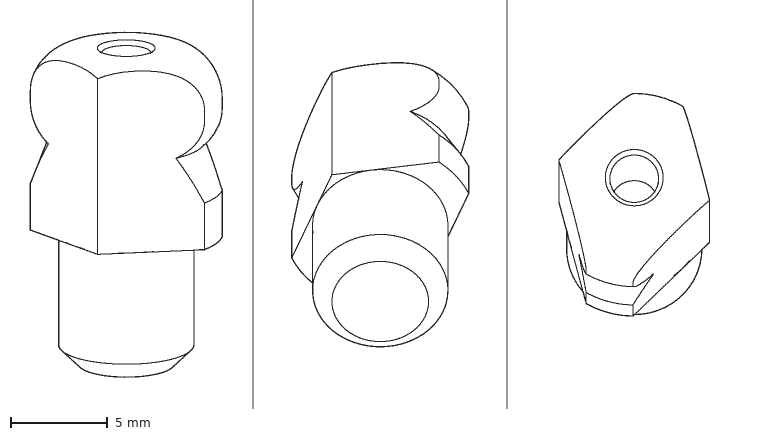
import cadquery as cq
import math

total_height = 17.0
head_bottom = 7.0
neck_start = 9.52
neck_top = 12.0

head_radius = 5.0
corner_radius = 2.48
flat_distance = 3.5
flat_angle = math.radians(30)

shank_radius = 3.5
tip_chamfer = 1.0

hole_radius = 1.25
hole_depth = 6.0
hole_chamfer = 0.24
drill_point_angle = math.radians(118)

upper_arc_z = total_height - corner_radius
lower_arc_z = 13.94
arc_center_radius = head_radius - corner_radius
neck_drop = lower_arc_z - neck_top
neck_radius = arc_center_radius + math.sqrt(corner_radius**2 - neck_drop**2)


def arc_point(center_z, angle):
    """Point on a head rounding, as (radius, height)."""
    return (
        arc_center_radius + corner_radius * math.cos(angle),
        center_z + corner_radius * math.sin(angle),
    )


def revolve_profile(profile):
    """Turn a closed (radius, height) profile around Z."""
    return profile.close().revolve(360, (0, 0, 0), (0, 1, 0))


def make_head():
    lower_arc_middle = arc_point(lower_arc_z, -math.asin(neck_drop / corner_radius) / 2)
    upper_arc_middle = arc_point(upper_arc_z, math.pi / 4)
    round_body = revolve_profile(
        cq.Workplane("XZ")
        .moveTo(0, head_bottom)
        .lineTo(head_radius, head_bottom)
        .lineTo(head_radius, neck_start)
        .lineTo(neck_radius, neck_top)
        .threePointArc(lower_arc_middle, (head_radius, lower_arc_z))
        .lineTo(head_radius, upper_arc_z)
        .threePointArc(upper_arc_middle, (arc_center_radius, total_height))
        .lineTo(0, total_height)
    )
    diamond_y = flat_distance / math.cos(flat_angle)
    diamond_x = flat_distance / math.sin(flat_angle)
    diamond = (
        cq.Workplane("XY")
        .polyline([(diamond_x, 0), (0, diamond_y), (-diamond_x, 0), (0, -diamond_y)])
        .close()
        .extrude(total_height)
    )
    return round_body.intersect(diamond)


def make_shank():
    return cq.Workplane("XY").circle(shank_radius).extrude(head_bottom).faces("<Z").chamfer(tip_chamfer)


def make_hole():
    hole_bottom = total_height - hole_depth
    drill_point_height = hole_radius / math.tan(drill_point_angle / 2)
    return revolve_profile(
        cq.Workplane("XZ")
        .moveTo(0, hole_bottom - drill_point_height)
        .lineTo(hole_radius, hole_bottom)
        .lineTo(hole_radius, total_height - hole_chamfer)
        .lineTo(hole_radius + hole_chamfer, total_height)
        .lineTo(0, total_height)
    )


result = make_head().union(make_shank()).cut(make_hole())